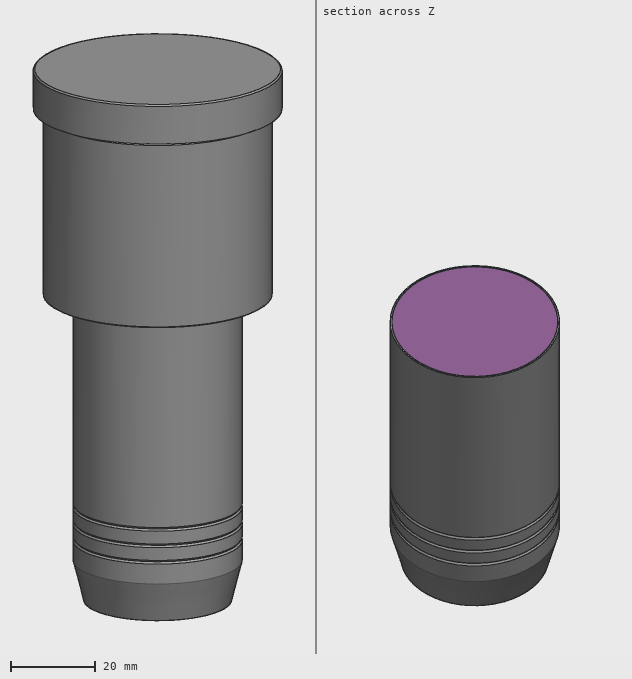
import cadquery as cq

total_height = 131.0
head_height = 9.7
shank_top = total_height - 56.0
head_bottom = total_height - head_height

head_radius = 29.5
body_radius = 27.1
shank_radius = 20.0
tip_radius = 17.5
tip_height = 9.8

head_chamfer = 0.4
body_chamfer_height = 0.4
body_chamfer_width = 0.7

neck_depth = 0.4
head_neck_height = 0.7
body_neck_height = 0.9

groove_count = 3
groove_pitch = 4.0
groove_width = 0.9
groove_depth = 0.4
lowest_groove_center = 15.2


def revolve_profile(points):
    """Turn a closed outline of (radius, height) points about the Z axis."""
    return cq.Workplane("XZ").polyline(points).close().revolve(360, (0, 0), (0, 1))


def make_head():
    """Flat disc with its top edge broken."""
    head = cq.Workplane("XY").workplane(offset=head_bottom).circle(head_radius).extrude(head_height)
    return head.faces(">Z").edges().chamfer(head_chamfer)


def make_body():
    """Body with its edges broken and a relief neck under the head."""
    profile = [
        (0, shank_top),
        (body_radius - body_chamfer_width, shank_top),
        (body_radius, shank_top + body_chamfer_height),
        (body_radius, head_bottom - head_neck_height - neck_depth),
        (body_radius - neck_depth, head_bottom - head_neck_height),
        (body_radius - neck_depth, head_bottom),
        (0, head_bottom),
    ]
    return revolve_profile(profile)


def make_shank():
    """Shank with a tapered tip, ring grooves and a relief neck under the body."""
    profile = [(0, 0), (tip_radius, 0), (shank_radius, tip_height)]
    for index in range(groove_count):
        center = lowest_groove_center + index * groove_pitch
        profile += [
            (shank_radius, center - groove_width / 2),
            (shank_radius - groove_depth, center),
            (shank_radius, center + groove_width / 2),
        ]
    neck_bottom = shank_top - body_neck_height
    profile += [
        (shank_radius, neck_bottom),
        (shank_radius - neck_depth, neck_bottom),
        (shank_radius - neck_depth, shank_top),
        (0, shank_top),
    ]
    return revolve_profile(profile)


result = make_shank().union(make_body()).union(make_head())